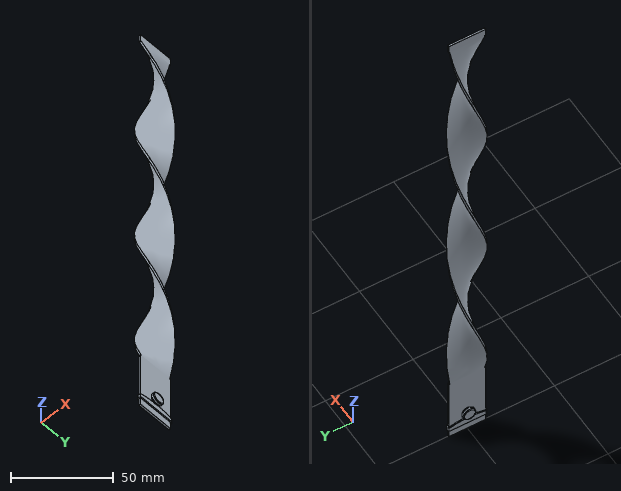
import cadquery as cq

BLADE_LENGTH = 300.0
BLADE_THICKNESS = 1.2
TAB_LENGTH = 40.2
TAB_WIDTH = 21.0
CAP_LENGTH = 5.0
TWIST_SETBACK = 0.5
TWIST_WIDTH = TAB_WIDTH - 2 * TWIST_SETBACK
TWIST_ANGLE = -3 * 180

RIVET_Z = 13.0
RIVET_LENGTH = 6.0
HEAD_RADIUS = 3.5
HEAD_CHAMFER = 0.45
NECK_RADIUS = 3.0

BAND_LENGTH = 22.8
BAND_THICKNESS = 2.58
BAND_BOTTOM = 5.0
BAND_END_TOP = 7.2
BAND_MIDDLE_TOP = 9.0


def flat_strip(width, height, bottom):
    """Upright strip in the YZ plane, centred on the Z axis."""
    strip = cq.Workplane("XY").box(BLADE_THICKNESS, width, height, centered=(True, True, False))
    return strip.translate((0, 0, bottom))


def make_rivet():
    """Neck as thick as the band, with a head on each side."""
    head_height = (RIVET_LENGTH - BAND_THICKNESS) / 2
    rivet = cq.Workplane("YZ").circle(NECK_RADIUS).extrude(BAND_THICKNESS / 2, both=True)
    head = cq.Workplane("YZ").workplane(offset=BAND_THICKNESS / 2).circle(HEAD_RADIUS).extrude(head_height)
    head = head.faces(">X").chamfer(HEAD_CHAMFER)
    rivet = rivet.union(head).union(head.mirror("YZ"))
    return rivet.translate((0, 0, RIVET_Z))


def make_blade(rivet):
    """Tab, twist and cap in one piece, with the rivet hole cut through the tab."""
    twist_length = BLADE_LENGTH - TAB_LENGTH - CAP_LENGTH
    twist = (
        cq.Workplane("XY")
        .workplane(offset=TAB_LENGTH)
        .rect(BLADE_THICKNESS, TWIST_WIDTH)
        .twistExtrude(twist_length, TWIST_ANGLE)
    )
    tab = flat_strip(TAB_WIDTH, TAB_LENGTH, 0)
    cap = flat_strip(TAB_WIDTH, CAP_LENGTH, BLADE_LENGTH - CAP_LENGTH)
    return tab.union(twist).union(cap).cut(rivet)


def make_band():
    """Collar with an arched top and a slot that fits the tab."""
    half_length = BAND_LENGTH / 2
    arched = (
        cq.Workplane("YZ")
        .moveTo(-half_length, BAND_BOTTOM)
        .lineTo(half_length, BAND_BOTTOM)
        .lineTo(half_length, BAND_END_TOP)
        .threePointArc((0, BAND_MIDDLE_TOP), (-half_length, BAND_END_TOP))
        .close()
        .extrude(BAND_THICKNESS / 2, both=True)
    )
    rounded = cq.Workplane("XY").slot2D(BAND_LENGTH, BAND_THICKNESS, 90).extrude(BAND_MIDDLE_TOP)
    return arched.intersect(rounded).cut(flat_strip(TAB_WIDTH, TAB_LENGTH, 0))


rivet = make_rivet()
blade = make_blade(rivet)
band = make_band()

result = cq.Compound.makeCompound([blade.val(), rivet.val(), band.val()])